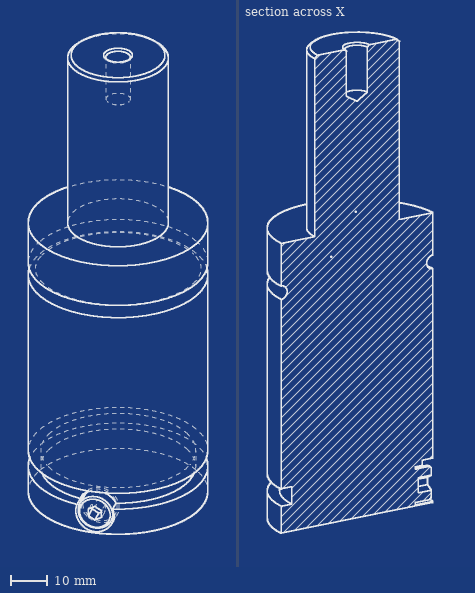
import cadquery as cq
import math

TOTAL_HEIGHT = 138.0
BODY_TOP = 85.0
GROOVE_CENTER = 70.5
NECK_TOP = 13.0
FLANGE_TOP = 8.0

BODY_DIAMETER = 50.0
NECK_DIAMETER = 43.0
ROD_DIAMETER = 28.0
GROOVE_RADIUS = 2.0
ROD_CHAMFER_WIDTH = 1.0
ROD_CHAMFER_HEIGHT = 0.8

ROD_HOLE_DIAMETER = 6.8
ROD_HOLE_MOUTH_DIAMETER = 8.0
ROD_HOLE_DEPTH = 13.8
COUNTERSINK_ANGLE = 90.0
DRILL_POINT_ANGLE = 118.0

PORT_HEIGHT = 6.0
CLEARANCE_DIAMETER = 11.0
CLEARANCE_FLOOR_RADIUS = 19.3
PLUG_DIAMETER = 10.0
PLUG_CHAMFER = 0.5
PLUG_FACE_RADIUS = 24.4
SOCKET_FLATS = 3.7
SOCKET_DEPTH = 4.1

BODY_RADIUS = BODY_DIAMETER / 2
NECK_RADIUS = NECK_DIAMETER / 2
ROD_RADIUS = ROD_DIAMETER / 2


def turned_body():
    """Revolve the half section of the cylinder, its grooves and the rod."""
    half_section = (
        cq.Workplane("XZ")
        .lineTo(BODY_RADIUS, 0)
        .lineTo(BODY_RADIUS, FLANGE_TOP)
        .lineTo(NECK_RADIUS, FLANGE_TOP)
        .lineTo(NECK_RADIUS, NECK_TOP)
        .lineTo(BODY_RADIUS, NECK_TOP)
        .lineTo(BODY_RADIUS, GROOVE_CENTER - GROOVE_RADIUS)
        .threePointArc(
            (BODY_RADIUS - GROOVE_RADIUS, GROOVE_CENTER),
            (BODY_RADIUS, GROOVE_CENTER + GROOVE_RADIUS),
        )
        .lineTo(BODY_RADIUS, BODY_TOP)
        .lineTo(ROD_RADIUS, BODY_TOP)
        .lineTo(ROD_RADIUS, TOTAL_HEIGHT - ROD_CHAMFER_HEIGHT)
        .lineTo(ROD_RADIUS - ROD_CHAMFER_WIDTH, TOTAL_HEIGHT)
        .lineTo(0, TOTAL_HEIGHT)
        .close()
    )
    return half_section.revolve(360, (0, 0, 0), (0, 1, 0))


def drill_rod_end(body):
    """Countersunk blind hole, followed by a conical drill point."""
    drilled = (
        body.faces(">Z")
        .workplane(origin=(0, 0, TOTAL_HEIGHT))
        .cskHole(ROD_HOLE_DIAMETER, ROD_HOLE_MOUTH_DIAMETER, COUNTERSINK_ANGLE, depth=ROD_HOLE_DEPTH)
    )
    hole_bottom = TOTAL_HEIGHT - ROD_HOLE_DEPTH
    hole_radius = ROD_HOLE_DIAMETER / 2
    point_depth = hole_radius / math.tan(math.radians(DRILL_POINT_ANGLE / 2))
    point_base = cq.Vector(0, 0, hole_bottom)
    downward = cq.Vector(0, 0, -1)
    drill_point = cq.Solid.makeCone(hole_radius, 0, point_depth, point_base, downward)
    return drilled.cut(drill_point)


def port_cylinder(diameter, inner_radius, outer_radius):
    """Cylinder along -Y on the port axis, between two distances from the body axis."""
    return (
        cq.Workplane("XZ", origin=(0, -inner_radius, PORT_HEIGHT))
        .circle(diameter / 2)
        .extrude(outer_radius - inner_radius)
    )


def add_port(body):
    """Chamfered plug across the neck and flange, set in a round clearance pocket."""
    plug = port_cylinder(PLUG_DIAMETER, CLEARANCE_FLOOR_RADIUS, PLUG_FACE_RADIUS)
    plug = plug.faces("<Y").chamfer(PLUG_CHAMFER)
    clearance = port_cylinder(CLEARANCE_DIAMETER, CLEARANCE_FLOOR_RADIUS, BODY_RADIUS)
    socket_corners = SOCKET_FLATS / math.cos(math.pi / 6)
    socket = (
        cq.Workplane("XZ", origin=(0, -PLUG_FACE_RADIUS, PORT_HEIGHT))
        .transformed(rotate=(0, 0, 90))
        .polygon(6, socket_corners)
        .extrude(-SOCKET_DEPTH)
    )
    return body.cut(clearance).union(plug).cut(socket)


result = add_port(drill_rod_end(turned_body()))